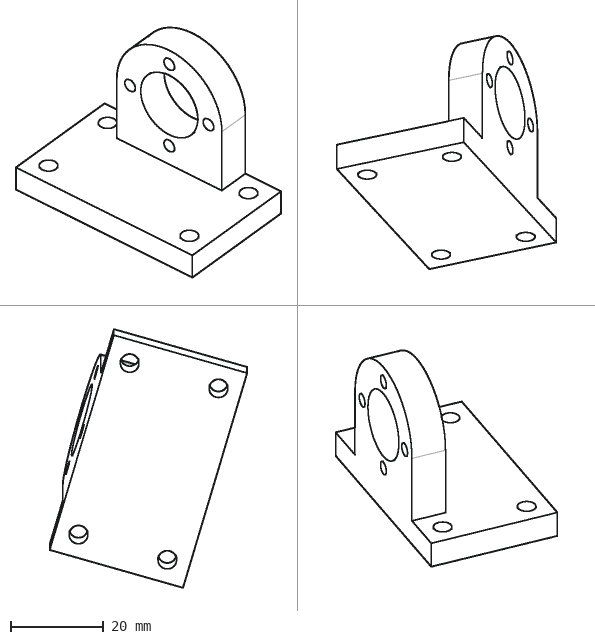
import cadquery as cq

base_length = 49.6
base_depth = 30.0
base_thickness = 6.0
mount_hole_diameter = 4.0
mount_hole_inset = 5.0

total_height = 36.8
upright_radius = 14.8
upright_thickness = 8.0
bore_diameter = 16.0
bolt_circle_radius = 11.0
bolt_hole_diameter = 3.0
bolt_hole_count = 4

bore_height = total_height - upright_radius
back_y = base_depth / 2


def make_base():
    """Rectangular plate with a mounting hole near each corner."""
    plate = cq.Workplane("XY").box(base_length, base_depth, base_thickness, centered=(True, True, False))
    return (
        plate.faces(">Z")
        .workplane()
        .rect(base_length - 2 * mount_hole_inset, base_depth - 2 * mount_hole_inset, forConstruction=True)
        .vertices()
        .hole(mount_hole_diameter)
    )


def back_plane(height=0):
    """XZ sketch plane on the back face; extrusion runs toward -Y."""
    return cq.Workplane("XZ", origin=(0, back_y, height))


def make_upright():
    """Round-topped plate standing on the base."""
    return (
        back_plane()
        .moveTo(-upright_radius, base_thickness)
        .lineTo(upright_radius, base_thickness)
        .lineTo(upright_radius, bore_height)
        .threePointArc((0, total_height), (-upright_radius, bore_height))
        .close()
        .extrude(upright_thickness)
    )


def make_bore_and_bolt_holes():
    """Cutting solids for the bore and its ring of bolt holes."""
    bore = back_plane(bore_height).circle(bore_diameter / 2).extrude(upright_thickness)
    bolt_holes = (
        back_plane(bore_height)
        .polarArray(bolt_circle_radius, 0, 360, bolt_hole_count)
        .circle(bolt_hole_diameter / 2)
        .extrude(upright_thickness)
    )
    return bore.union(bolt_holes)


result = make_base().union(make_upright()).cut(make_bore_and_bolt_holes())